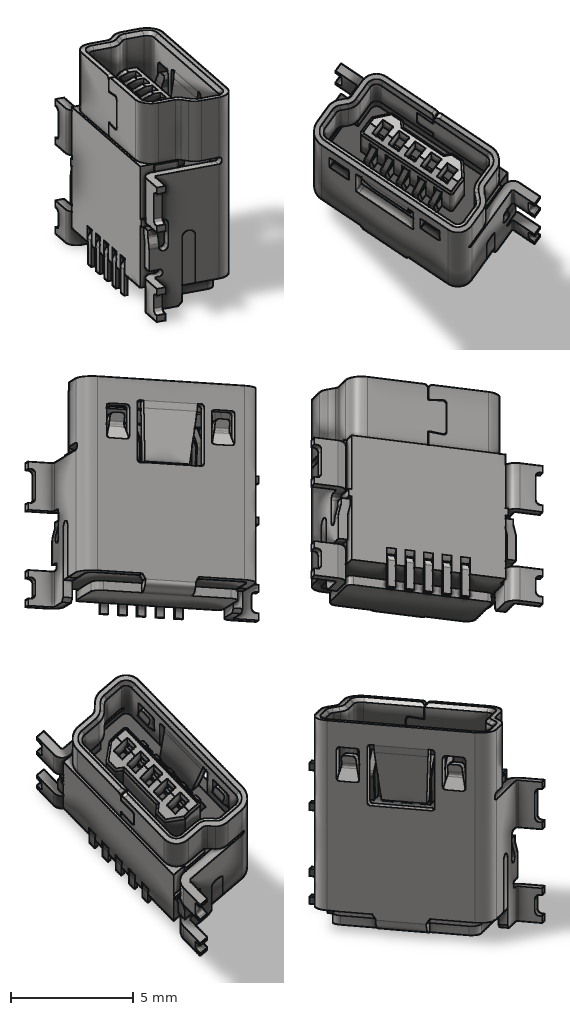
import cadquery as cq
import math


TOTAL_WIDTH = 9.9
TOTAL_HEIGHT = 4.0
TOTAL_LENGTH = 9.07

SHEET = 0.4
INNER_BEND = 0.31
OUTER_BEND = INNER_BEND + SHEET
SHELL_HALF = 3.85
SHELL_HALF_IN = SHELL_HALF - SHEET
SHELL_TOP_IN = TOTAL_HEIGHT - SHEET

MOUTH_BASE_Z = 6.39
MOUTH_FLOOR_Y = 0.11
MOUTH_LOW_HALF = 3.33
MOUTH_STEP_LOW_Y = 1.7
MOUTH_STEP_HIGH_Y = MOUTH_STEP_LOW_Y + SHELL_HALF - MOUTH_LOW_HALF
RIM_CHAMFER = 0.17
SLIT_WIDTH = 0.3
SLIT_END_Y = 3.45
SLIT_BASE_Z = MOUTH_BASE_Z - SLIT_WIDTH

SEAM_GAP = 0.03
SEAM_X = 0.01
DOVETAIL_X = 0.8
DOVETAIL_LOW_Z = 6.97
DOVETAIL_HIGH_Z = 8.44
DOVETAIL_FLARE = 0.07
DOVETAIL_ROUND = 0.14
SEAM_MOUTH_ROUND = 0.2

LATCH_WINDOW_BASE_Z = 5.59
LATCH_WINDOW_HALF = 1.44
LATCH_ROOT_HALF = 1.17
LATCH_TIP_HALF = 0.96
LATCH_ROOT_Z = 8.19
LATCH_BEND_Z = 7.88
LATCH_BEND_DROP = 0.03
LATCH_TIP_Z = 5.74
LATCH_DROP = 0.46
SIDE_SPRING_X = 2.26
SIDE_WINDOW_WIDTH = 0.98
SIDE_WINDOW_BASE_Z = 6.53
SIDE_WINDOW_TOP_Z = 7.98
SIDE_SPRING_TIP_WIDTH = 0.62
SIDE_SPRING_CREST_Z = 7.18
SIDE_SPRING_TOP_Z = 7.62
SIDE_SPRING_DROP = 0.22
SIDE_SPRING_TIP_DROP = 0.04
SPRING_ROUND = 0.15

WALL_BASE_Z = 0.98
LEG_Y = 1.64
LEG_BASE_Z = 0.09
LEG_CHAMFER = 0.18
SIDE_SLOT_WIDTH = 0.6
SIDE_SLOT_TOP_Z = 3.4

TAB_INNER_BEND = 0.09
TAB_OUTER_BEND = TAB_INNER_BEND + SHEET
UPPER_TAB_BASE_Z = 4.08
LOWER_TAB_TOP_Z = 1.57
TAB_LUG = 0.3
TAB_NOTCH_DEPTH = 0.31
TAB_NOTCH_ROUND = 0.21

FINGER_LOW_Y = 0.16
FINGER_HIGH_Y = 0.6
FINGER_BASE_Z = 1.88
FINGER_BEND_LOW_Z = 2.96
FINGER_BEND_HIGH_Z = 3.41
FINGER_TOP_Z = 3.66
UPPER_RELIEF_Y = 1.02
UPPER_RELIEF_BASE_Z = 2.69
LOWER_RELIEF_Y = 0.77

FLAP_HALF = 3.15
FLAP_LOW_Y = 0.99
FLAP_LOW_ROUND = 0.23
FLAP_HIGH_ROUND = 0.42
FLAP_BASE_Z = 0.27
FLAP_INNER_BEND = 0.09
FLAP_OUTER_BEND = FLAP_INNER_BEND + SHEET
FLAP_BEND_Y = TOTAL_HEIGHT - FLAP_OUTER_BEND
FLAP_BEND_Z = FLAP_BASE_Z + FLAP_OUTER_BEND
STRIP_HALF = 1.08
STRIP_ROOT_HALF = 1.23

HOUSING_BASE_Z = 0.97
HOUSING_LOW_HALF = 3.34
HOUSING_STEP_Y = FINGER_HIGH_Y
HOUSING_FLOOR_Z = LATCH_WINDOW_BASE_Z
LIP_TOP_Y = 1.69
LIP_ROUND = 0.13
RIB_BASE_Z = 3.73
RIB_TOP_Z = 4.05
FINGER_BEND_DEPTH = SHELL_HALF_IN - HOUSING_LOW_HALF

TONGUE_TIP_Z = 8.17
TONGUE_HALF = 2.3
TONGUE_TOP_Y = 2.49
TONGUE_SHOULDER_Y = 1.59
TONGUE_FOOT_Y = 0.93
TONGUE_FOOT_OUT = 1.77
TONGUE_FOOT_IN = 1.23
TONGUE_ARCH_HALF = 1.01
TONGUE_ARCH_Y = 1.19
TONGUE_ROUND = 0.12
TONGUE_SLOPE_Y = 1.89
TONGUE_SLOPE_DROP = 0.37
TONGUE_CHAMFER = 0.1

CONTACT_COUNT = 5
CONTACT_PITCH = 0.8
CONTACT_WIDTH = 0.35
CONTACT_BEAM_WIDTH = 0.27
CONTACT_NECK_Z = 1.98
CONTACT_THICK = 0.16
CONTACT_RUN_Z = 1.38
CONTACT_HEEL_Y = 2.18
CONTACT_CREST_Y = 2.91
CONTACT_CREST_Z = 6.63
CONTACT_TIP_Y = 1.98
CONTACT_TIP_Z = 7.62
CONTACT_BEND = 0.22
EXIT_WIDTH = 0.41
EXIT_TOP_Z = 1.68
EXIT_DEPTH = 0.13
EXIT_INNER_Z = 1.46
CHANNEL_LOW_Y = 1.98
CHANNEL_HIGH_Y = 3.18
CHANNEL_BASE_Z = 4.455
CHANNEL_TOP_Z = 7.52
POCKET_WIDTH = 0.51
POCKET_LOW_Y = 1.45
POCKET_HIGH_Y = 2.2
POCKET_BASE_Z = 6.98

OVERCUT = 0.1
SAME_POINT = 0.0001


def box(x_range, y_range, z_range):
    """Axis-aligned box given by its limits along each axis."""
    sizes = [high - low for low, high in (x_range, y_range, z_range)]
    return cq.Workplane("XY").box(*sizes, centered=False).translate((x_range[0], y_range[0], z_range[0]))


def rounded_line(plane, corners, closed=True):
    """Line through (u, v, radius) corners, with a tangent arc at each corner that has a radius."""
    line = plane
    end = None
    count = len(corners)
    for i, (u, v, radius) in enumerate(corners):
        points = [(u, v)]
        if radius > 0:
            before = corners[i - 1]
            after = corners[(i + 1) % count]
            back = math.atan2(before[1] - v, before[0] - u)
            ahead = math.atan2(after[1] - v, after[0] - u)
            half = math.acos(math.cos(ahead - back)) / 2
            middle = math.atan2(math.sin(back) + math.sin(ahead), math.cos(back) + math.cos(ahead))
            reach = radius / math.tan(half)
            sag = radius / math.sin(half) - radius
            steps = ((reach, back), (sag, middle), (reach, ahead))
            points = [(u + d * math.cos(a), v + d * math.sin(a)) for d, a in steps]
        if i == 0:
            line = line.moveTo(*points[0])
        elif math.dist(end, points[0]) > SAME_POINT:
            line = line.lineTo(*points[0])
        if radius > 0:
            line = line.threePointArc(points[1], points[2])
        end = points[-1]
    return line.close() if closed else line


def both_sides(half_corners):
    """Completes corners listed on the +X side with their mirror images, in order around the outline."""
    return half_corners + [(-u, v, radius) for u, v, radius in reversed(half_corners)]


def with_mirror(body):
    """Joins a +X feature with its mirror image."""
    return body.union(body.mirror("YZ"))


def across_x(corners, half_width):
    """Prism of a (y, z, radius) outline, centred on X = 0."""
    return rounded_line(cq.Workplane("YZ"), corners).extrude(half_width, both=True)


def rounded_slot(x_range, y_range, z_range):
    """Slot through X with semicircular ends on its long direction."""
    y_size = y_range[1] - y_range[0]
    z_size = z_range[1] - z_range[0]
    centre = (x_range[0], sum(y_range) / 2, sum(z_range) / 2)
    angle = 0 if y_size > z_size else 90
    plane = cq.Workplane("YZ", origin=centre)
    slot = plane.slot2D(max(y_size, z_size), min(y_size, z_size), angle)
    return slot.extrude(x_range[1] - x_range[0])


def contact_positions():
    middle = (CONTACT_COUNT - 1) / 2
    return [(i - middle) * CONTACT_PITCH for i in range(CONTACT_COUNT)]


def mouth():
    outline = both_sides([
        (SHELL_HALF, TOTAL_HEIGHT, OUTER_BEND),
        (SHELL_HALF, MOUTH_STEP_HIGH_Y, OUTER_BEND),
        (MOUTH_LOW_HALF, MOUTH_STEP_LOW_Y, INNER_BEND),
        (MOUTH_LOW_HALF, MOUTH_FLOOR_Y, OUTER_BEND),
    ])
    length = TOTAL_LENGTH - MOUTH_BASE_Z
    base = cq.Workplane("XY", origin=(0, 0, MOUTH_BASE_Z))
    cavity = rounded_line(base, outline).offset2D(-SHEET).extrude(length)
    ring = rounded_line(base, outline).extrude(length).cut(cavity).val()
    rim = cq.Workplane(ring).faces(">Z").val().innerWires()[0]
    return cq.Workplane(ring.chamfer(RIM_CHAMFER, None, rim.Edges()))


def seam():
    """Narrow dovetail gap where the two ends of the sheet meet, opening into a rounded notch at the rim."""
    far = TOTAL_WIDTH
    top_z = TOTAL_LENGTH + OVERCUT
    low_z = MOUTH_BASE_Z - SEAM_GAP
    outline = [
        (-far, low_z, 0),
        (SEAM_X, low_z, 0),
        (SEAM_X, DOVETAIL_LOW_Z + DOVETAIL_FLARE, DOVETAIL_ROUND / 2),
        (DOVETAIL_X, DOVETAIL_LOW_Z, DOVETAIL_ROUND),
        (DOVETAIL_X, DOVETAIL_HIGH_Z, DOVETAIL_ROUND),
        (SEAM_X, DOVETAIL_HIGH_Z - DOVETAIL_FLARE, DOVETAIL_ROUND / 2),
        (SEAM_X, top_z, 0),
        (-far, top_z, 0),
    ]
    depth = MOUTH_FLOOR_Y + SHEET + OVERCUT
    plane = cq.Workplane("XZ")
    sheet_end = rounded_line(plane, outline).extrude(-depth)
    gap = rounded_line(plane, outline).offset2D(SEAM_GAP).extrude(-depth).cut(sheet_end)

    middle_x = SEAM_X + SEAM_GAP / 2
    reach = SEAM_MOUTH_ROUND
    notch = box((middle_x - reach, middle_x + reach), (0, depth), (TOTAL_LENGTH - reach, TOTAL_LENGTH))
    for side in (-1, 1):
        rounding = plane.center(middle_x + side * reach, TOTAL_LENGTH - reach).circle(reach).extrude(-depth)
        notch = notch.cut(rounding)
    return gap.union(notch)


def rear_channel():
    """U-shaped rear part of the shell, open towards the board."""
    low_y = TAB_OUTER_BEND

    def block(half, top, bend, low):
        outline = [(half, low, 0), (half, top, bend), (-half, top, bend), (-half, low, 0)]
        plane = cq.Workplane("XY", origin=(0, 0, WALL_BASE_Z))
        return rounded_line(plane, outline).extrude(MOUTH_BASE_Z - WALL_BASE_Z)

    channel = block(SHELL_HALF, TOTAL_HEIGHT, OUTER_BEND, low_y)
    return channel.cut(block(SHELL_HALF_IN, SHELL_TOP_IN, INNER_BEND, low_y - OVERCUT))


def side_leg():
    leg = box((SHELL_HALF_IN, SHELL_HALF), (TAB_OUTER_BEND, LEG_Y), (LEG_BASE_Z, WALL_BASE_Z))
    return leg.edges(">Y and <Z").chamfer(LEG_CHAMFER)


def slit():
    """Slit through both sides that parts the mouth from the rear walls."""
    reach = SHELL_HALF + OVERCUT
    return rounded_slot((-reach, reach), (-SLIT_END_Y, SLIT_END_Y), (SLIT_BASE_Z, MOUTH_BASE_Z))


def side_slot():
    """Round-topped slot in a side wall, filled by a pad of the housing."""
    x_range = (SHELL_HALF_IN, SHELL_HALF)
    y_range = (LEG_Y, LEG_Y + SIDE_SLOT_WIDTH)
    slot = rounded_slot(x_range, y_range, (0, SIDE_SLOT_TOP_Z))
    return slot.cut(box(x_range, y_range, (0, WALL_BASE_Z)))


def finger_reliefs():
    """Openings that free a gripping finger from the side wall and the two tabs."""
    x_range = (SHELL_HALF_IN - OVERCUT, SHELL_HALF + OVERCUT)
    edge = box(x_range, (0, FINGER_HIGH_Y), (LOWER_TAB_TOP_Z, UPPER_TAB_BASE_Z))
    upper_range = (UPPER_RELIEF_BASE_Z, UPPER_TAB_BASE_Z)
    upper = rounded_slot(x_range, (FINGER_HIGH_Y, UPPER_RELIEF_Y), upper_range)
    upper_entry = box(
        x_range,
        (0, (FINGER_HIGH_Y + UPPER_RELIEF_Y) / 2),
        (FINGER_TOP_Z, UPPER_TAB_BASE_Z),
    )
    lower = rounded_slot(x_range, (0, LOWER_RELIEF_Y), (LOWER_TAB_TOP_Z, FINGER_BASE_Z))
    return edge.union(upper).union(upper_entry).union(lower)


def finger():
    """Gripping finger bent inwards against the housing."""
    tip_out = SHELL_HALF - FINGER_BEND_DEPTH
    tip_in = SHELL_HALF_IN - FINGER_BEND_DEPTH
    outline = [
        (SHELL_HALF, FINGER_BASE_Z, 0),
        (SHELL_HALF, FINGER_BEND_LOW_Z, OUTER_BEND),
        (tip_out, FINGER_BEND_HIGH_Z, INNER_BEND),
        (tip_out, FINGER_TOP_Z, 0),
        (tip_in, FINGER_TOP_Z, 0),
        (tip_in, FINGER_BEND_HIGH_Z, OUTER_BEND),
        (SHELL_HALF_IN, FINGER_BEND_LOW_Z, INNER_BEND),
        (SHELL_HALF_IN, FINGER_BASE_Z, 0),
    ]
    plane = cq.Workplane("XZ", origin=(0, FINGER_HIGH_Y, 0))
    return rounded_line(plane, outline).extrude(FINGER_HIGH_Y - FINGER_LOW_Y)


def solder_tab(base_z, top_z):
    """Tab bent outwards onto the board, with a round-cornered notch in its end."""
    end_x = TOTAL_WIDTH / 2
    outline = [
        (SHELL_HALF_IN, TAB_OUTER_BEND, 0),
        (SHELL_HALF_IN, 0, TAB_OUTER_BEND),
        (end_x, 0, 0),
        (end_x, SHEET, 0),
        (SHELL_HALF, SHEET, TAB_INNER_BEND),
        (SHELL_HALF, TAB_OUTER_BEND, 0),
    ]
    tab = rounded_line(cq.Workplane("XY", origin=(0, 0, base_z)), outline).extrude(top_z - base_z)
    notch = box(
        (end_x - TAB_NOTCH_DEPTH, end_x + OVERCUT),
        (-OVERCUT, SHEET + OVERCUT),
        (base_z + TAB_LUG, top_z - TAB_LUG),
    )
    return tab.cut(notch.edges("|Y and <X").fillet(TAB_NOTCH_ROUND))


def rear_flap():
    """Flap that folds down behind the housing on a narrow bent strip."""
    strip_outline = [
        (FLAP_BEND_Y, FLAP_BASE_Z, 0),
        (TOTAL_HEIGHT, FLAP_BASE_Z, FLAP_OUTER_BEND),
        (TOTAL_HEIGHT, WALL_BASE_Z, 0),
        (SHELL_TOP_IN, WALL_BASE_Z, 0),
        (SHELL_TOP_IN, FLAP_BASE_Z + SHEET, FLAP_INNER_BEND),
        (FLAP_BEND_Y, FLAP_BASE_Z + SHEET, 0),
    ]
    strip = across_x(strip_outline, STRIP_HALF)
    root_outline = [
        (STRIP_ROOT_HALF, WALL_BASE_Z),
        (STRIP_HALF, FLAP_BEND_Z),
        (-STRIP_HALF, FLAP_BEND_Z),
        (-STRIP_ROOT_HALF, WALL_BASE_Z),
    ]
    root = cq.Workplane("XZ", origin=(0, TOTAL_HEIGHT, 0)).polyline(root_outline).close().extrude(SHEET)
    plate_outline = both_sides([
        (FLAP_HALF, FLAP_BEND_Y, FLAP_HIGH_ROUND),
        (FLAP_HALF, FLAP_LOW_Y, FLAP_LOW_ROUND),
    ])
    plate = rounded_line(cq.Workplane("XY", origin=(0, 0, FLAP_BASE_Z)), plate_outline).extrude(SHEET)
    return strip.union(root).union(plate)


def top_window(centre_x, width, base_z, top_z):
    x_range = (centre_x - width / 2, centre_x + width / 2)
    y_range = (SHELL_TOP_IN - OVERCUT, TOTAL_HEIGHT + OVERCUT)
    return box(x_range, y_range, (base_z, top_z)).edges("|Y").fillet(SPRING_ROUND)


def latch():
    """Central latch that hangs from the mouth side of its window and slopes inwards."""
    inner = [
        (SHELL_TOP_IN, LATCH_ROOT_Z),
        (SHELL_TOP_IN - LATCH_BEND_DROP, LATCH_BEND_Z),
        (SHELL_TOP_IN - LATCH_DROP, LATCH_TIP_Z),
    ]
    outer = [(y + SHEET, z) for y, z in reversed(inner)]
    sloped = cq.Workplane("YZ").polyline(inner + outer).close().extrude(LATCH_ROOT_HALF, both=True)
    taper = [
        (LATCH_ROOT_HALF, LATCH_ROOT_Z),
        (LATCH_TIP_HALF, LATCH_TIP_Z),
        (-LATCH_TIP_HALF, LATCH_TIP_Z),
        (-LATCH_ROOT_HALF, LATCH_ROOT_Z),
    ]
    return sloped.intersect(cq.Workplane("XZ").polyline(taper).close().extrude(-TOTAL_HEIGHT))


def side_spring():
    """Spring that rises from the lower end of its window to a crest inside the mouth."""
    inner = [
        (SHELL_TOP_IN, SIDE_WINDOW_BASE_Z, 0),
        (SHELL_TOP_IN - SIDE_SPRING_DROP, SIDE_SPRING_CREST_Z, INNER_BEND),
        (SHELL_TOP_IN - SIDE_SPRING_TIP_DROP, SIDE_SPRING_TOP_Z, 0),
    ]
    outer = [(y + SHEET, z, radius) for y, z, radius in reversed(inner)]
    bent = across_x(inner + outer, SIDE_WINDOW_WIDTH)
    tip_half = SIDE_SPRING_TIP_WIDTH / 2
    taper = both_sides([
        (tip_half, SIDE_SPRING_TOP_Z, SPRING_ROUND),
        (tip_half, SIDE_SPRING_CREST_Z, 0),
        (SIDE_WINDOW_WIDTH / 2, SIDE_WINDOW_BASE_Z, 0),
    ])
    spring = bent.intersect(rounded_line(cq.Workplane("XZ"), taper).extrude(-TOTAL_HEIGHT))
    return spring.translate((SIDE_SPRING_X, 0, 0))


def make_shell():
    shell = mouth().union(rear_channel()).union(with_mirror(side_leg())).cut(slit()).cut(seam())
    shell = shell.cut(with_mirror(side_slot())).cut(with_mirror(finger_reliefs()))
    upper_tab = solder_tab(UPPER_TAB_BASE_Z, SLIT_BASE_Z)
    lower_tab = solder_tab(LEG_BASE_Z, LOWER_TAB_TOP_Z)
    for feature in (finger(), upper_tab, lower_tab):
        shell = shell.union(with_mirror(feature))
    shell = shell.cut(top_window(0, 2 * LATCH_WINDOW_HALF, LATCH_WINDOW_BASE_Z, LATCH_ROOT_Z)).union(latch())
    side_window = top_window(SIDE_SPRING_X, SIDE_WINDOW_WIDTH, SIDE_WINDOW_BASE_Z, SIDE_WINDOW_TOP_Z)
    shell = shell.cut(with_mirror(side_window))
    return shell.union(with_mirror(side_spring())).union(rear_flap())


def make_contact(x):
    path_corners = [
        (CONTACT_THICK / 2, 0, 0),
        (CONTACT_THICK / 2, CONTACT_RUN_Z, CONTACT_BEND),
        (CONTACT_HEEL_Y, CONTACT_RUN_Z, CONTACT_BEND),
        (CONTACT_CREST_Y, CONTACT_CREST_Z, CONTACT_BEND),
        (CONTACT_TIP_Y, CONTACT_TIP_Z, 0),
    ]
    path = rounded_line(cq.Workplane("YZ"), path_corners, closed=False)
    section = cq.Workplane("XY").center(0, CONTACT_THICK / 2).rect(CONTACT_WIDTH, CONTACT_THICK)
    contact = section.sweep(path)
    side_range = (CONTACT_BEAM_WIDTH / 2, CONTACT_WIDTH)
    contact = contact.cut(with_mirror(box(side_range, (0, TOTAL_HEIGHT), (CONTACT_NECK_Z, TOTAL_LENGTH))))
    return contact.translate((x, 0, 0))


def tongue():
    outline = both_sides([
        (TONGUE_HALF, TONGUE_TOP_Y, TONGUE_ROUND),
        (TONGUE_HALF, TONGUE_SHOULDER_Y, 0),
        (TONGUE_FOOT_OUT, TONGUE_FOOT_Y, TONGUE_ROUND),
        (TONGUE_FOOT_IN, TONGUE_FOOT_Y, TONGUE_ROUND),
        (TONGUE_ARCH_HALF, TONGUE_ARCH_Y, 0),
    ])
    base = cq.Workplane("XY", origin=(0, 0, HOUSING_FLOOR_Z))
    body = rounded_line(base, outline).extrude(TONGUE_TIP_Z - HOUSING_FLOOR_Z)
    slope = [
        (TONGUE_SLOPE_Y, TONGUE_TIP_Z, 0),
        (TONGUE_FOOT_Y - OVERCUT, TONGUE_TIP_Z - TONGUE_SLOPE_DROP, 0),
        (TONGUE_FOOT_Y - OVERCUT, TONGUE_TIP_Z + OVERCUT, 0),
        (TONGUE_SLOPE_Y, TONGUE_TIP_Z + OVERCUT, 0),
    ]
    reach = TONGUE_HALF + OVERCUT
    sloped = body.cut(across_x(slope, reach))
    above_floor = cq.selectors.BoxSelector(
        (-reach, 0, HOUSING_FLOOR_Z + OVERCUT),
        (reach, TOTAL_HEIGHT, TONGUE_TIP_Z + OVERCUT),
        boundingbox=True,
    )
    tip_edges = sloped.edges(above_floor)
    ridge = sloped.edges(cq.selectors.NearestToPointSelector((0, TONGUE_SLOPE_Y, TONGUE_TIP_Z)))
    rim = [edge for edge in tip_edges.vals() if not edge.isSame(ridge.val())]
    return cq.Workplane(sloped.solids().val().chamfer(TONGUE_CHAMFER, None, rim))


def contact_openings():
    """Exit slot at the board, spring channel behind the tongue and pocket in the tongue tip."""
    exit_outline = [
        (0, HOUSING_BASE_Z, 0),
        (0, EXIT_TOP_Z, 0),
        (EXIT_DEPTH, EXIT_INNER_Z, 0),
        (EXIT_DEPTH, HOUSING_BASE_Z, 0),
    ]
    openings = across_x(exit_outline, EXIT_WIDTH / 2)
    half = EXIT_WIDTH / 2
    channel = box((-half, half), (CHANNEL_LOW_Y, CHANNEL_HIGH_Y), (CHANNEL_BASE_Z, CHANNEL_TOP_Z))
    half = POCKET_WIDTH / 2
    pocket = box((-half, half), (POCKET_LOW_Y, POCKET_HIGH_Y), (POCKET_BASE_Z, TONGUE_TIP_Z))
    return openings.union(channel).union(pocket)


def lip():
    """U-shaped rim around the low part of the floor, carrying the mouth."""
    outline = both_sides([
        (SHELL_HALF_IN, LIP_TOP_Y, LIP_ROUND),
        (SHELL_HALF_IN, HOUSING_STEP_Y, 0),
        (HOUSING_LOW_HALF, HOUSING_STEP_Y, 0),
        (HOUSING_LOW_HALF, 0, 0),
    ])
    height = MOUTH_BASE_Z - HOUSING_FLOOR_Z
    base = cq.Workplane("XY", origin=(0, 0, HOUSING_FLOOR_Z))
    recess_half = MOUTH_LOW_HALF - SHEET
    recess_outline = both_sides([
        (recess_half, LIP_TOP_Y, 0),
        (recess_half, MOUTH_FLOOR_Y + SHEET, INNER_BEND),
    ])
    return rounded_line(base, outline).extrude(height).cut(rounded_line(base, recess_outline).extrude(height))


def make_housing(contact_bodies):
    core_outline = both_sides([
        (SHELL_HALF_IN, SHELL_TOP_IN, INNER_BEND),
        (SHELL_HALF_IN, HOUSING_STEP_Y, 0),
        (HOUSING_LOW_HALF, HOUSING_STEP_Y, 0),
        (HOUSING_LOW_HALF, 0, 0),
    ])
    core = rounded_line(cq.Workplane("XY", origin=(0, 0, HOUSING_BASE_Z)), core_outline)
    core = core.extrude(HOUSING_FLOOR_Z - HOUSING_BASE_Z)
    rib = box((-SHELL_HALF_IN, SHELL_HALF_IN), (0, HOUSING_STEP_Y), (RIB_BASE_Z, RIB_TOP_Z))
    housing = core.union(rib).union(lip()).union(tongue()).union(with_mirror(side_slot()))
    for x in contact_positions():
        housing = housing.cut(contact_openings().translate((x, 0, 0)))
    for contact in contact_bodies:
        housing = housing.cut(contact)
    return housing


shell = make_shell()
contacts = [make_contact(x) for x in contact_positions()]
housing = make_housing(contacts)
result = cq.Compound.makeCompound([shell.val(), housing.val(), *[contact.val() for contact in contacts]])